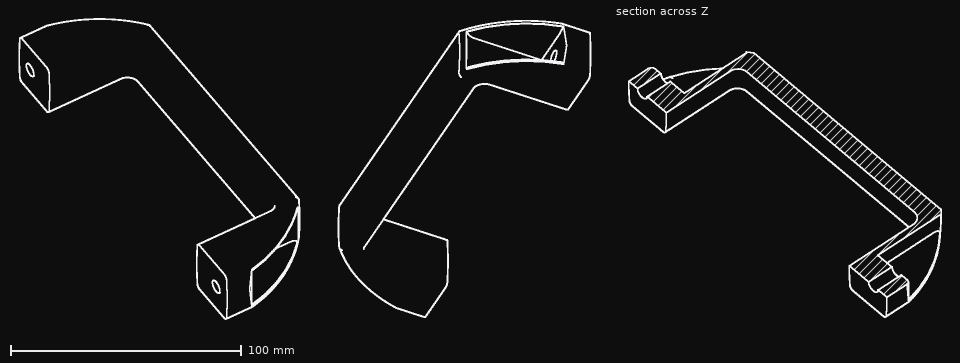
import cadquery as cq
import math

length = 169.9
height = 52.0
width = 28.0
half_length = length / 2
half_width = width / 2

grip_thickness = 9.9
leg_thickness = 25.0
crown = 0.7
inner_corner_radius = 5.1
edge_radius = 2.0

shoulder_start_y = 13.6
shoulder_end_x = 61.7
shoulder_radius = 69.0

pocket_half_width = 8.7
pocket_floor_x = 63.7
pocket_top_y = 49.8
lower_lip_radius = 2.0
side_lip_radius = 2.5
outside_margin = 3.4
hole_diameter = 6.1
hole_x = 76.0

leg_inner_x = half_length - leg_thickness
grip_under_y = height - grip_thickness


def crowned_leg_plan():
    """Left half in plan (XZ), from the bulging end face to the middle of the handle."""
    return (
        cq.Workplane("XZ")
        .moveTo(0, -half_width)
        .lineTo(-half_length + crown, -half_width)
        .threePointArc((-half_length, 0), (-half_length + crown, half_width))
        .lineTo(0, half_width)
        .close()
        .extrude(-height)
    )


def leg_clearance():
    """Space between the left leg's bulging inner face and the middle, below the grip."""
    edge_x = -leg_inner_x - crown
    return (
        cq.Workplane("XZ")
        .moveTo(0, -half_width)
        .lineTo(edge_x, -half_width)
        .threePointArc((-leg_inner_x, 0), (edge_x, half_width))
        .lineTo(0, half_width)
        .close()
        .extrude(-grip_under_y)
    )


def shoulder_center():
    """Center of the shoulder arc, found from its two ends and its radius."""
    chord_x = half_length - shoulder_end_x
    chord_y = height - shoulder_start_y
    chord = math.hypot(chord_x, chord_y)
    offset = math.sqrt(shoulder_radius**2 - (chord / 2) ** 2)
    center_x = -(half_length + shoulder_end_x) / 2 + offset * chord_y / chord
    center_y = (shoulder_start_y + height) / 2 - offset * chord_x / chord
    return center_x, center_y


def shoulder_barrel():
    """Barrel about a Z axis whose bulging wall is the outside of the left shoulder."""
    center_x, center_y = shoulder_center()
    rim_radius = shoulder_radius - crown
    return (
        cq.Workplane("XZ")
        .moveTo(0, -half_width)
        .lineTo(rim_radius, -half_width)
        .threePointArc((shoulder_radius, 0), (rim_radius, half_width))
        .lineTo(0, half_width)
        .close()
        .revolve(360, (0, 0), (0, 1))
        .translate((center_x, center_y, 0))
    )


def half_handle():
    """Left half, with the inside corner between leg and grip rounded."""
    body = crowned_leg_plan().intersect(shoulder_barrel()).cut(leg_clearance())
    corner = cq.selectors.NearestToPointSelector((-leg_inner_x, grip_under_y, 0))
    return body.edges(corner).fillet(inner_corner_radius)


def pocket_outline():
    """Pocket in side profile (XY), with its lower lip rounded over onto the end face."""
    lip_radius = lower_lip_radius
    lip_center_y = shoulder_start_y - lip_radius
    lip_center_x = -half_length + lip_radius
    diagonal = lip_radius * math.sqrt(0.5)
    outer_x = -half_length - outside_margin
    return (
        cq.Workplane("XY")
        .workplane(offset=-half_width)
        .moveTo(-pocket_floor_x, shoulder_start_y)
        .lineTo(lip_center_x, shoulder_start_y)
        .threePointArc(
            (lip_center_x - diagonal, lip_center_y + diagonal),
            (-half_length, lip_center_y),
        )
        .lineTo(outer_x, lip_center_y)
        .lineTo(outer_x, pocket_top_y)
        .lineTo(-pocket_floor_x, pocket_top_y)
        .close()
        .extrude(width)
    )


def pocket_flare():
    """Disc about the shoulder axis that opens the pocket sideways with rounded lips."""
    center_x, center_y = shoulder_center()
    lip_start = shoulder_radius - crown - side_lip_radius
    lip_end = shoulder_radius - crown
    outer_radius = shoulder_radius + outside_margin
    mouth_half_width = pocket_half_width + side_lip_radius
    diagonal = side_lip_radius * math.sqrt(0.5)
    lip_middle = (lip_start + diagonal, mouth_half_width - diagonal)
    return (
        cq.Workplane("XZ")
        .moveTo(0, -pocket_half_width)
        .lineTo(lip_start, -pocket_half_width)
        .threePointArc((lip_middle[0], -lip_middle[1]), (lip_end, -mouth_half_width))
        .lineTo(outer_radius, -mouth_half_width)
        .lineTo(outer_radius, mouth_half_width)
        .lineTo(lip_end, mouth_half_width)
        .threePointArc(lip_middle, (lip_start, pocket_half_width))
        .lineTo(0, pocket_half_width)
        .close()
        .revolve(360, (0, 0), (0, 1))
        .translate((center_x, center_y, 0))
    )


def screw_pocket():
    """Deep pocket through the left shoulder, open outward with a rounded mouth."""
    return pocket_outline().intersect(pocket_flare())


def screw_hole():
    """Hole from the left foot up into the pocket."""
    return (
        cq.Workplane("XZ")
        .center(-hole_x, 0)
        .circle(hole_diameter / 2)
        .extrude(-(pocket_top_y + shoulder_start_y) / 2)
    )


def mirrored(shape):
    """The shape together with its mirror image across the middle of the handle."""
    return shape.union(shape.mirror("YZ"))


handle = mirrored(half_handle()).clean()
side_edges = handle.faces("<Z or >Z").edges().filter(lambda edge: edge.Center().y > edge_radius)
handle = side_edges.fillet(edge_radius)

handle = handle.cut(mirrored(screw_pocket()))
result = handle.cut(mirrored(screw_hole()))